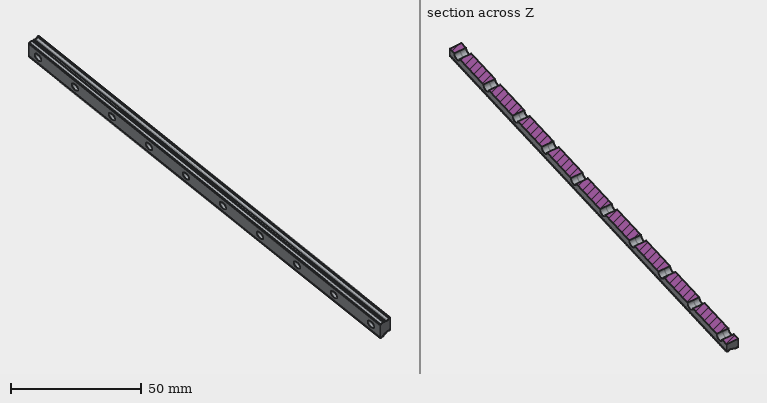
import cadquery as cq
length = 190.0
thickness = 5.5
width = 9.0

base_chamfer = 0.3
head_chamfer = 0.29

head_inset = 0.32

neck_depth = 0.49
shoulder_height = 1.7

groove_radius = 1.02
groove_height = 3.83
groove_axis_inset = -0.1
flank_offset = 0.01

hole_count = 10
hole_pitch = 20.0
hole_diameter = 3.5


def rail_body():
    half_width = width / 2
    neck_half_width = half_width - neck_depth
    head_half_width = half_width - head_inset
    half_section = [
        (0, 0),
        (half_width - base_chamfer, 0),
        (half_width, base_chamfer),
        (half_width, shoulder_height),
        (neck_half_width, shoulder_height + neck_depth),
        (neck_half_width, groove_height),
        (head_half_width, groove_height),
        (head_half_width, thickness - head_chamfer),
        (head_half_width - head_chamfer, thickness),
        (0, thickness),
    ]
    section = [(height - thickness / 2, across) for across, height in half_section]
    return (
        cq.Workplane("YZ")
        .polyline(section)
        .mirrorX()
        .extrude(length / 2, both=True)
    )


def flank_cylinders(shift):
    groove_y = groove_height - thickness / 2 + shift
    groove_z = width / 2 - groove_axis_inset
    return (
        cq.Workplane("YZ")
        .pushPoints([(groove_y, groove_z), (groove_y, -groove_z)])
        .circle(groove_radius)
        .extrude(length / 2, both=True)
    )


def ball_grooves():
    return flank_cylinders(flank_offset).intersect(flank_cylinders(-flank_offset))


def mounting_holes():
    return (
        cq.Workplane("XZ")
        .rarray(hole_pitch, 1, hole_count, 1)
        .circle(hole_diameter / 2)
        .extrude(thickness, both=True)
    )


result = rail_body().cut(ball_grooves()).cut(mounting_holes())